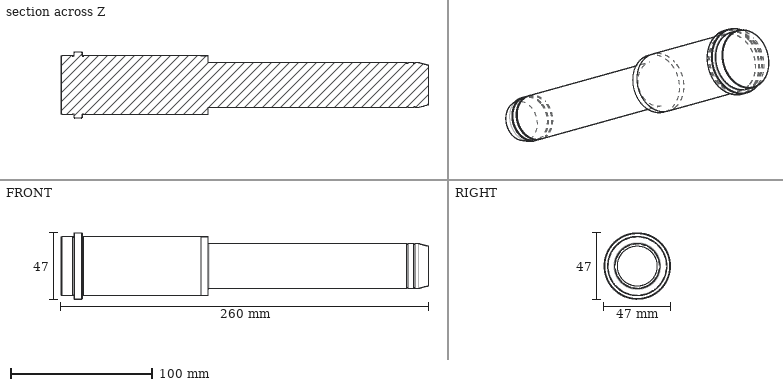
import cadquery as cq
import math

TOTAL_LENGTH = 260.0
SHOULDER_X = 104.0
NOSE_LENGTH = 7.0

BODY_RADIUS = 42.0 / 2
PILOT_LENGTH = 5.0
PILOT_RELIEF = 0.1
END_CHAMFER = 0.5

COLLAR_RADIUS = 47.0 / 2
COLLAR_START = 9.0
COLLAR_WIDTH = 6.0
COLLAR_CHAMFER = 0.5

SHANK_RADIUS = 32.0 / 2
NOSE_ANGLE = 15.0
SHANK_ROOT_FILLET = 0.5

GROOVE_RADIUS = 0.5
OIL_GROOVE_CENTERS = (245.0, 250.0)
RELIEF_CENTERS = (
    COLLAR_START - GROOVE_RADIUS,
    COLLAR_START + COLLAR_WIDTH + GROOVE_RADIUS,
)


def make_pin():
    """Revolve body, pilot band, shank and nose about the X axis."""
    pilot_start = SHOULDER_X - PILOT_LENGTH
    pilot_radius = BODY_RADIUS - PILOT_RELIEF
    nose_start = TOTAL_LENGTH - NOSE_LENGTH
    nose_tip_radius = SHANK_RADIUS - NOSE_LENGTH * math.tan(math.radians(NOSE_ANGLE))
    return (
        cq.Workplane("XY")
        .moveTo(0, 0)
        .lineTo(0, BODY_RADIUS - END_CHAMFER)
        .lineTo(END_CHAMFER, BODY_RADIUS)
        .lineTo(pilot_start, BODY_RADIUS)
        .lineTo(pilot_start, pilot_radius)
        .lineTo(SHOULDER_X, pilot_radius)
        .lineTo(SHOULDER_X, SHANK_RADIUS + SHANK_ROOT_FILLET)
        .radiusArc((SHOULDER_X + SHANK_ROOT_FILLET, SHANK_RADIUS), -SHANK_ROOT_FILLET)
        .lineTo(nose_start, SHANK_RADIUS)
        .lineTo(TOTAL_LENGTH, nose_tip_radius)
        .lineTo(TOTAL_LENGTH, 0)
        .close()
        .revolve(360, (0, 0, 0), (1, 0, 0))
    )


def make_collar():
    """Disc with chamfered rims, to be merged with the body."""
    return (
        cq.Workplane("YZ", origin=(COLLAR_START, 0, 0))
        .circle(COLLAR_RADIUS)
        .extrude(COLLAR_WIDTH)
        .edges()
        .chamfer(COLLAR_CHAMFER)
    )


def make_groove(center_x, surface_radius):
    """Round-bottomed ring, centred on a cylinder's surface, to be cut from it."""
    return (
        cq.Workplane("XY")
        .center(center_x, surface_radius)
        .circle(GROOVE_RADIUS)
        .revolve(360, (-center_x, -surface_radius, 0), (1 - center_x, -surface_radius, 0))
    )


body = make_pin()
for groove_center in RELIEF_CENTERS:
    body = body.cut(make_groove(groove_center, BODY_RADIUS))
for groove_center in OIL_GROOVE_CENTERS:
    body = body.cut(make_groove(groove_center, SHANK_RADIUS))

result = body.union(make_collar())